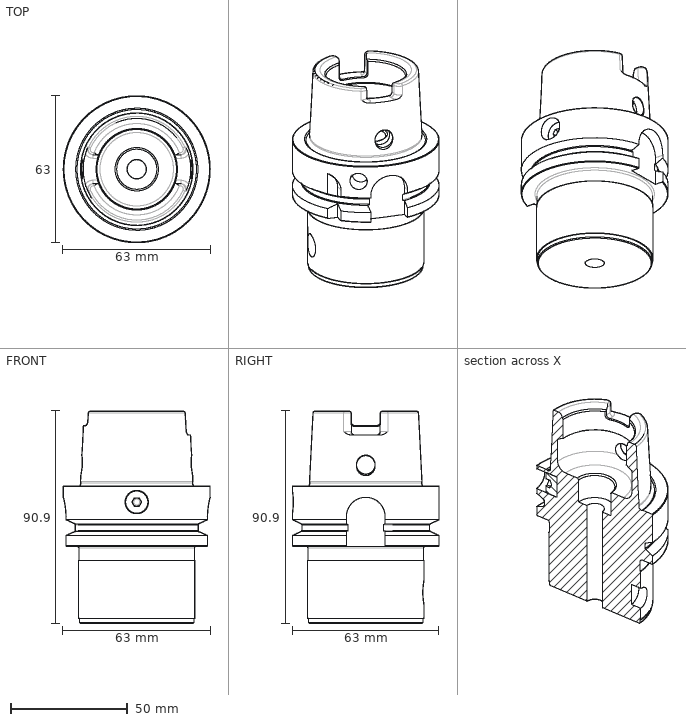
import cadquery as cq
import math

total_height = 90.9
flange_face_z = 58.9
flange_bottom_z = 33.0
flange_radius = 31.5
flange_edge_chamfer = 0.3

selection_margin = 0.1

seam_angle = 60

shank_radius = 25.0
shank_top_z = 27.0
shank_end_radius = 24.6
shank_end_height = 2.1
shank_end_chamfer = 0.4
neck_radius = 24.8
neck_fillet = 0.8

groove_radius = 27.45
groove_middle_z = 41.0
groove_floor_width = 2.9
groove_flank_angle = 25.5
groove_fillet = 0.45

taper_bottom_z = 60.8
taper_bottom_radius = 24.15
taper_slope = 1 / 20
undercut_radius = 24.0
relief_depth = 0.4
relief_outer_radius = 26.2
relief_fillet = 1.6
rim_outer_round = 0.9

bore_radius = 17.05
mouth_radius = 19.6
mouth_round = 2.1
lead_in_length = 0.8
shoulder_z = 78.3
shoulder_angle = 30
undercut_bore_radius = 20.0
bore_floor_z = 61.2
bore_floor_radius = 15.75
thread_radius = 8.6
thread_chamfer = 0.7
thread_depth = 12.0
coolant_radius = 4.08

keyway_half_width = 6.2
keyway_floors = {-1: 84.75, 1: 80.75}
keyway_corner_round = 2.3
keyway_floor_fillet = 1.5
keyway_inner_chamfer = 0.4
cutter_reach = 40.0

cross_hole_z = 67.9
cross_hole_radius = 3.95
cross_hole_chamfer = 0.45

slot_half_width = 8.3
slot_top_z = 54.0
slot_floor_distance = 26.4
notch_radius = 7.0
notch_edge_y = 19.8
notch_floor_distance = 20.0
notch_arch_z = 47.2

flange_hole_z = 51.95
side_hole_radius = 3.7
side_hole_angle = 155
side_hole_depth = 8.7
drill_point_angle = 118
clamp_hole_angle = 90
clamp_hole_radius = 5.0
clamp_hole_depth = 5.0
clamp_hole_z = 13.2

plug_hole_angle = -90
plug_radius = 5.0
plug_face_distance = 26.5
plug_length = 6.0
plug_chamfer = 0.25
socket_flats = 3.6
socket_depth = 2.0
socket_seat_radius = 1.3
socket_seat_depth = 0.4
socket_tip_depth = 0.7


def radial_direction(angle):
    """Horizontal unit vector at an angle in degrees from +X."""
    return cq.Vector(math.cos(math.radians(angle)), math.sin(math.radians(angle)), 0)


def radial_cylinder(angle, z, outer, inner, radius):
    """Cylinder on a horizontal radius of the part, between two distances from the axis."""
    direction = radial_direction(angle)
    start = direction * inner + cq.Vector(0, 0, z)
    return cq.Workplane(obj=cq.Solid.makeCylinder(radius, outer - inner, start, direction))


def make_outside():
    """Revolved outside of the holder, without its bore."""
    flank_rise = (flange_radius - groove_radius) * math.tan(math.radians(groove_flank_angle))
    groove_low = groove_middle_z - groove_floor_width / 2
    groove_high = groove_middle_z + groove_floor_width / 2
    relief_z = flange_face_z - relief_depth
    taper_top_radius = taper_bottom_radius - taper_slope * (total_height - taper_bottom_z)
    outline = (
        cq.Workplane("XZ")
        .lineTo(shank_end_radius - shank_end_chamfer, 0)
        .lineTo(shank_end_radius, shank_end_chamfer)
        .lineTo(shank_end_radius, shank_end_height)
        .lineTo(shank_radius, shank_end_height)
        .lineTo(shank_radius, shank_top_z)
        .lineTo(neck_radius, shank_top_z)
        .lineTo(neck_radius, flange_bottom_z - neck_fillet)
        .radiusArc((neck_radius + neck_fillet, flange_bottom_z), neck_fillet)
        .lineTo(flange_radius - flange_edge_chamfer, flange_bottom_z)
        .lineTo(flange_radius, flange_bottom_z + flange_edge_chamfer)
        .lineTo(flange_radius, groove_low - flank_rise)
        .lineTo(groove_radius, groove_low)
        .lineTo(groove_radius, groove_high)
        .lineTo(flange_radius, groove_high + flank_rise)
        .lineTo(flange_radius, flange_face_z - flange_edge_chamfer)
        .lineTo(flange_radius - flange_edge_chamfer, flange_face_z)
        .lineTo(relief_outer_radius, flange_face_z)
        .lineTo(undercut_radius + relief_fillet, relief_z)
        .radiusArc((undercut_radius, relief_z + relief_fillet), relief_fillet)
        .lineTo(taper_bottom_radius, taper_bottom_z)
        .lineTo(taper_top_radius, total_height)
        .lineTo(0, total_height)
        .close()
    )
    outside = outline.revolve(360, (0, 0, 0), (0, 1, 0)).rotate((0, 0, 0), (0, 0, 1), seam_angle)
    reach = groove_radius + groove_fillet / 2
    groove_corners = cq.selectors.BoxSelector(
        (-reach, -reach, groove_low - groove_fillet),
        (reach, reach, groove_high + groove_fillet),
        boundingbox=True,
    )
    return outside.edges(groove_corners).edges("%CIRCLE").fillet(groove_fillet)


def make_bore():
    """Revolved cutter for the hollow taper, the threaded seat and the coolant hole."""
    mouth_bottom_z = total_height - mouth_round
    shoulder_drop = (undercut_bore_radius - bore_radius) * math.tan(math.radians(shoulder_angle))
    floor_fillet = undercut_bore_radius - bore_floor_radius
    return (
        cq.Workplane("XZ")
        .lineTo(coolant_radius, 0)
        .lineTo(coolant_radius, bore_floor_z - thread_depth)
        .lineTo(thread_radius, bore_floor_z - thread_depth)
        .lineTo(thread_radius, bore_floor_z - thread_chamfer)
        .lineTo(thread_radius + thread_chamfer, bore_floor_z)
        .lineTo(bore_floor_radius, bore_floor_z)
        .radiusArc((undercut_bore_radius, bore_floor_z + floor_fillet), -floor_fillet)
        .lineTo(undercut_bore_radius, shoulder_z - shoulder_drop)
        .lineTo(bore_radius, shoulder_z)
        .lineTo(bore_radius, mouth_bottom_z - lead_in_length)
        .lineTo(mouth_radius - mouth_round, mouth_bottom_z)
        .radiusArc((mouth_radius, total_height), mouth_round)
        .lineTo(0, total_height)
        .close()
        .revolve(360, (0, 0, 0), (0, 1, 0))
        .rotate((0, 0, 0), (0, 0, 1), seam_angle)
    )


def cut_keyway(holder, side, floor_z):
    """Cut one rim keyway, round the outer corners of its walls, then its floor corners."""
    keyway = (
        cq.Workplane("XY", origin=(side * cutter_reach / 2, 0, floor_z))
        .rect(cutter_reach, 2 * keyway_half_width)
        .extrude(total_height - floor_z)
    )
    holder = holder.cut(keyway)
    wall_corners = cq.selectors.BoxSelector(
        (side * bore_radius, -flange_radius, floor_z + keyway_floor_fillet),
        (side * flange_radius, flange_radius, total_height),
    )
    holder = holder.edges(wall_corners).edges("not #Z").fillet(keyway_corner_round)
    floor_corners = cq.selectors.BoxSelector(
        (0, -flange_radius, floor_z - keyway_floor_fillet),
        (side * flange_radius, flange_radius, floor_z + keyway_floor_fillet),
    )
    return holder.edges(floor_corners).edges("|X").fillet(keyway_floor_fillet)


def chamfer_keyway_inside(holder, side, floor_z):
    """Break the edges where one keyway opens into the bore."""
    inner_limit = math.sqrt(bore_radius**2 - keyway_half_width**2) - selection_margin
    outer_limit = bore_radius + selection_margin
    width_limit = keyway_half_width + selection_margin
    inside_edges = cq.selectors.BoxSelector(
        (side * inner_limit, -width_limit, floor_z - selection_margin),
        (side * outer_limit, width_limit, total_height - mouth_round - lead_in_length),
    )
    return holder.edges(inside_edges).chamfer(keyway_inner_chamfer)


def make_arched_slot(side, center_y, half_width, arch_z, floor_distance):
    """Cutter with a round top, open downwards to the flange bottom, cut along X to a flat floor."""
    return (
        cq.Workplane("YZ", origin=(side * floor_distance, 0, 0))
        .moveTo(center_y - half_width, flange_bottom_z)
        .lineTo(center_y - half_width, arch_z)
        .threePointArc((center_y, arch_z + half_width), (center_y + half_width, arch_z))
        .lineTo(center_y + half_width, flange_bottom_z)
        .close()
        .extrude(side * cutter_reach)
    )


def make_cross_hole():
    """Cutter for the cross hole, with a countersink at each mouth."""
    mouth = taper_bottom_radius - taper_slope * (cross_hole_z - taper_bottom_z)
    sink_length = cross_hole_radius + cross_hole_chamfer
    cutter = radial_cylinder(0, cross_hole_z, cutter_reach, -cutter_reach, cross_hole_radius)
    for side in (-1, 1):
        tip = cq.Vector(side * (mouth - sink_length), 0, cross_hole_z)
        sink = cq.Solid.makeCone(0, 2 * sink_length, 2 * sink_length, tip, cq.Vector(side, 0, 0))
        cutter = cutter.union(cq.Workplane(obj=sink))
    return cutter


def make_side_hole():
    """Cutter for the angled flange hole, which ends in a drill point."""
    floor_distance = flange_radius - side_hole_depth
    point_depth = side_hole_radius / math.tan(math.radians(drill_point_angle / 2))
    cutter = radial_cylinder(side_hole_angle, flange_hole_z, cutter_reach, floor_distance, side_hole_radius)
    outward = radial_direction(side_hole_angle)
    base = outward * floor_distance + cq.Vector(0, 0, flange_hole_z)
    point = cq.Solid.makeCone(side_hole_radius, 0, point_depth, base, outward * -1)
    return cutter.union(cq.Workplane(obj=point))


def make_plug():
    """Screw plug with a hexagon socket that ends in a drilled point."""
    plug = cq.Workplane("XZ", origin=(0, -plug_face_distance, flange_hole_z)).circle(plug_radius)
    plug = plug.extrude(-plug_length).faces("<Y").chamfer(plug_chamfer)
    corner_diameter = socket_flats / math.cos(math.radians(30))
    socket = (
        cq.Workplane("XZ", origin=(0, -plug_face_distance, flange_hole_z))
        .polygon(6, corner_diameter)
        .extrude(-socket_depth)
    )
    inward = cq.Vector(0, 1, 0)
    seat_start = cq.Vector(0, socket_depth - plug_face_distance, flange_hole_z)
    seat = cq.Solid.makeCone(socket_flats / 2, socket_seat_radius, socket_seat_depth, seat_start, inward)
    tip = cq.Solid.makeCone(
        socket_seat_radius, 0, socket_tip_depth, seat_start + inward * socket_seat_depth, inward)
    return plug.cut(socket).cut(cq.Workplane(obj=seat)).cut(cq.Workplane(obj=tip))


holder = make_outside()
for slot_side in (-1, 1):
    slot_arch_z = slot_top_z - slot_half_width
    holder = holder.cut(make_arched_slot(slot_side, 0, slot_half_width, slot_arch_z, slot_floor_distance))
notch_center_y = notch_edge_y + notch_radius
holder = holder.cut(make_arched_slot(-1, notch_center_y, notch_radius, notch_arch_z, notch_floor_distance))

for keyway_side, keyway_floor_z in keyway_floors.items():
    holder = cut_keyway(holder, keyway_side, keyway_floor_z)
holder = holder.faces(">Z").edges().fillet(rim_outer_round)
holder = holder.cut(make_bore())
for keyway_side, keyway_floor_z in keyway_floors.items():
    holder = chamfer_keyway_inside(holder, keyway_side, keyway_floor_z)
holder = holder.cut(make_cross_hole())

clamp_hole_floor = shank_radius - clamp_hole_depth
plug_hole_floor = plug_face_distance - plug_length
holder = holder.cut(make_side_hole())
holder = holder.cut(
    radial_cylinder(clamp_hole_angle, clamp_hole_z, cutter_reach, clamp_hole_floor, clamp_hole_radius))
holder = holder.cut(
    radial_cylinder(plug_hole_angle, flange_hole_z, cutter_reach, plug_hole_floor, plug_radius))

plug = make_plug()

result = cq.Compound.makeCompound([holder.val(), plug.val()])